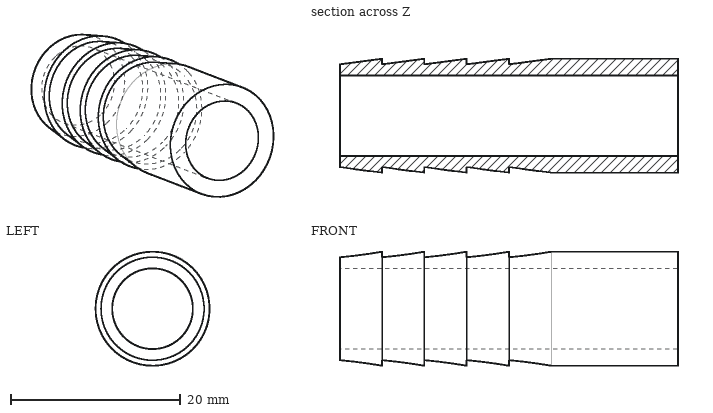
import cadquery as cq

length = 40.0
outer_diameter = 13.5
bore_diameter = 9.5

barb_count = 5
barb_pitch = 5.0
barb_root_diameter = 12.2

outer_radius = outer_diameter / 2
bore_radius = bore_diameter / 2
root_radius = barb_root_diameter / 2
start_x = -length / 2


def half_section():
    """Wall section in the XY plane, from the bore to the barbed outside."""
    section = cq.Workplane("XY").moveTo(start_x, bore_radius)
    for barb in range(barb_count):
        barb_start = start_x + barb * barb_pitch
        section = section.lineTo(barb_start, root_radius)
        section = section.lineTo(barb_start + barb_pitch, outer_radius)
    return (
        section.lineTo(start_x + length, outer_radius)
        .lineTo(start_x + length, bore_radius)
        .close()
    )


result = half_section().revolve(360, (0, 0, 0), (1, 0, 0))